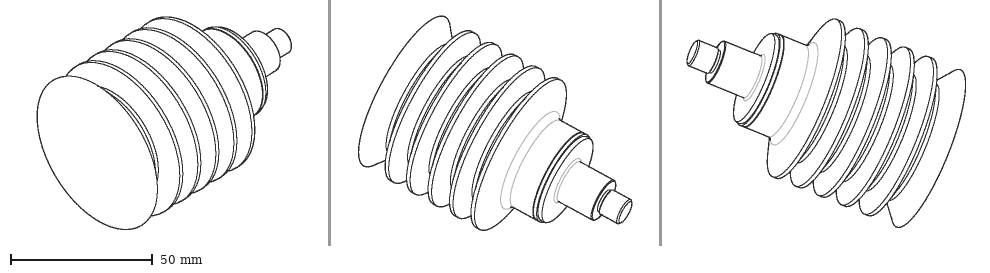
import cadquery as cq


Y_AXIS = ((0, 0), (0, 1))

BELLOWS_RADIUS = 30.0
NECK_RADIUS = 44.65 / 2
LIP_HEIGHT = 6.65
LAND_WIDTH = 1.5
FLANK_HEIGHT = 3.0
FOLD_COUNT = 5
FOLD_PITCH = 2 * (LAND_WIDTH + FLANK_HEIGHT)
BELLOWS_TOP = LIP_HEIGHT + FOLD_COUNT * FOLD_PITCH - FLANK_HEIGHT

BODY_RADIUS = 17.5
BODY_TOP = 66.65
SHOULDER_FILLET = 3.0
FLANK_SLOPE = FLANK_HEIGHT / (BELLOWS_RADIUS - NECK_RADIUS)
SHOULDER_TOP = BELLOWS_TOP + (BELLOWS_RADIUS - BODY_RADIUS) * FLANK_SLOPE
SEAM_WIDTH = 0.2
SEAM_DEPTH = 0.1
SEAM_OFFSET = 1.4
SEAM_TOP = BODY_TOP - SEAM_OFFSET

DISC_RADIUS = 17.0
DISC_THICKNESS = 1.7
DISC_RIM_BULGE = 0.3
DISC_TOP = BODY_TOP + DISC_THICKNESS

STEM_RADIUS = 8.0
STEM_LENGTH = 15.3
STEM_TOP = DISC_TOP + STEM_LENGTH
STEM_CHAMFER = 0.3
STEM_ROOT_FILLET = 0.8
SPIGOT_RADIUS = 9.73 / 2
RELIEF_RADIUS = 8.57 / 2
RELIEF_WIDTH = 1.1
SPIGOT_LENGTH = 9.0
SPIGOT_CHAMFER = SPIGOT_RADIUS - RELIEF_RADIUS


def cylinder(radius, start, length):
    """Cylinder on the Y axis running from Y = start towards +Y."""
    return cq.Workplane("XZ", origin=(0, start, 0)).circle(radius).extrude(-length)


def make_bellows_and_body():
    """Solid of revolution: flared lip, bellows folds, shoulder and body."""
    outline = [(0, 0), (BELLOWS_RADIUS, 0)]
    for fold in range(FOLD_COUNT):
        neck_start = LIP_HEIGHT + fold * FOLD_PITCH
        neck_end = neck_start + LAND_WIDTH
        rim_start = neck_end + FLANK_HEIGHT
        rim_end = rim_start + LAND_WIDTH
        outline += [
            (NECK_RADIUS, neck_start),
            (NECK_RADIUS, neck_end),
            (BELLOWS_RADIUS, rim_start),
            (BELLOWS_RADIUS, rim_end),
        ]
    outline += [(BODY_RADIUS, SHOULDER_TOP), (BODY_RADIUS, BODY_TOP), (0, BODY_TOP)]
    solid = cq.Workplane("XY").polyline(outline).close().revolve(360, *Y_AXIS)

    margin = 0.1
    shoulder_edge = cq.selectors.BoxSelector(
        (-BELLOWS_RADIUS, SHOULDER_TOP - margin, -BELLOWS_RADIUS),
        (BELLOWS_RADIUS, SHOULDER_TOP + margin, BELLOWS_RADIUS),
        boundingbox=True,
    )
    return solid.edges(shoulder_edge).edges("%CIRCLE").fillet(SHOULDER_FILLET)


def make_seam_groove():
    """Hairline ring groove around the body."""
    start = SEAM_TOP - SEAM_WIDTH
    outer = cylinder(BODY_RADIUS + SEAM_DEPTH, start, SEAM_WIDTH)
    return outer.cut(cylinder(BODY_RADIUS - SEAM_DEPTH, start, SEAM_WIDTH))


def make_disc():
    """Disc whose rim bulges outwards in a shallow arc."""
    edge_radius = DISC_RADIUS - DISC_RIM_BULGE
    return (
        cq.Workplane("XY")
        .moveTo(0, BODY_TOP)
        .lineTo(edge_radius, BODY_TOP)
        .threePointArc((DISC_RADIUS, BODY_TOP + DISC_THICKNESS / 2), (edge_radius, DISC_TOP))
        .lineTo(0, DISC_TOP)
        .close()
        .revolve(360, *Y_AXIS)
    )


def make_stem():
    """Stem with a chamfered top and a concave fillet flaring out at its root."""
    stem = cylinder(STEM_RADIUS, DISC_TOP, STEM_LENGTH).faces(">Y").chamfer(STEM_CHAMFER)
    root_radius = STEM_RADIUS + STEM_ROOT_FILLET
    flare = (
        cq.Workplane("XY")
        .moveTo(0, DISC_TOP)
        .lineTo(root_radius, DISC_TOP)
        .radiusArc((STEM_RADIUS, DISC_TOP + STEM_ROOT_FILLET), STEM_ROOT_FILLET)
        .lineTo(0, DISC_TOP + STEM_ROOT_FILLET)
        .close()
        .revolve(360, *Y_AXIS)
    )
    return stem.union(flare)


def make_spigot():
    """Spigot with a chamfered tip and a relief groove next to the stem."""
    relief = cylinder(RELIEF_RADIUS, STEM_TOP, RELIEF_WIDTH)
    shank = cylinder(SPIGOT_RADIUS, STEM_TOP + RELIEF_WIDTH, SPIGOT_LENGTH - RELIEF_WIDTH)
    return relief.union(shank.faces(">Y").chamfer(SPIGOT_CHAMFER))


result = (
    make_bellows_and_body()
    .cut(make_seam_groove())
    .union(make_disc())
    .union(make_stem())
    .union(make_spigot())
)